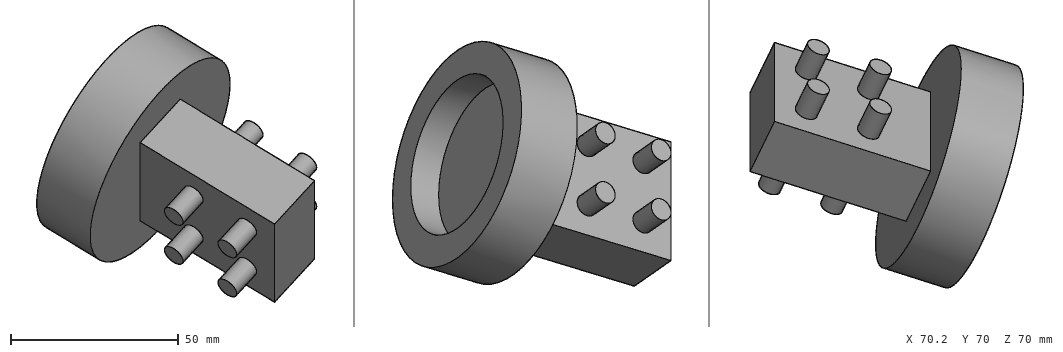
import cadquery as cq

total_length = 70.2
disc_diameter = 70.0
disc_thickness = 20.0
recess_diameter = 50.0
recess_depth = 10.0
block_width = 20.0
block_height = 2 * block_width
pin_diameter = 7.0
pin_length = 2 * block_width
pin_spacing = block_width
pin_end_distance = 10.2

block_length = total_length - disc_thickness
pin_center_x = total_length - pin_end_distance - pin_spacing / 2


def make_disc():
    """Disc along X, with a round recess in its outer face."""
    disc = cq.Workplane("YZ").circle(disc_diameter / 2).extrude(disc_thickness)
    recess = cq.Workplane("YZ").circle(recess_diameter / 2).extrude(recess_depth)
    return disc.cut(recess)


def make_block():
    """Rectangular block standing on the back of the disc."""
    return (
        cq.Workplane("YZ", origin=(disc_thickness, 0, 0))
        .rect(block_width, block_height)
        .extrude(block_length)
    )


def make_pins():
    """Square pattern of pins passing through the block along Y."""
    return (
        cq.Workplane("XZ", origin=(pin_center_x, 0, 0))
        .rarray(pin_spacing, pin_spacing, 2, 2)
        .circle(pin_diameter / 2)
        .extrude(pin_length / 2, both=True)
    )


result = make_disc().union(make_block()).union(make_pins())